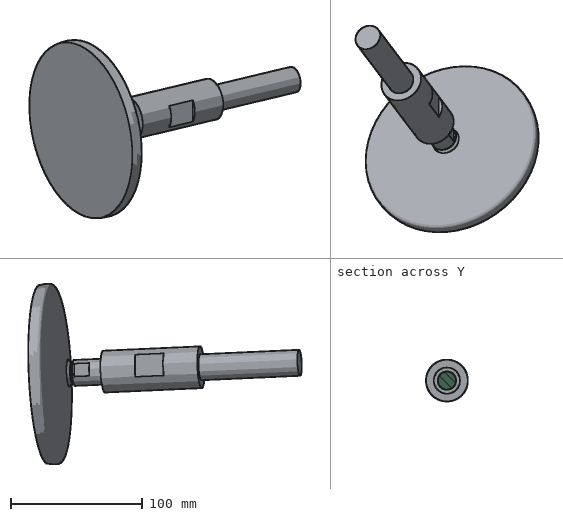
import cadquery as cq
import math

total_length = 198.0

foot_radius = 138.0 / 2
sole_radius = foot_radius - 0.5
draft_height = 4.2
rim_height = 7.1
rim_fillet = 2.5
cone_top_radius = 10.5
cone_top = 19.2
cone_angle = math.radians(9.7)
collar_radius = 8.0
collar_base = 21.4
ridge_radius = 9.0
ridge_middle = 22.2
ridge_half_height = 0.5
collar_top = ridge_middle + ridge_half_height

rod_diameter = 20.0
neck_diameter = 14.0
rod_start = 23.5
rod_flat_start = 25.1
rod_flat_length = 11.5
rod_across_flats = 17.2

sleeve_diameter = 32.0
sleeve_start = 46.5
sleeve_length = 75.0
sleeve_flat_length = 22.0
sleeve_across_flats = 27.0


def cylinder_y(diameter, start, length):
    """Cylinder along +Y from Y = start."""
    plane = cq.Workplane("XZ", origin=(0, start, 0))
    return plane.circle(diameter / 2).extrude(-length)


def cut_flats(body, diameter, across_flats, start, length):
    """Cut a pair of flats facing -X and +X, with square ends along Y."""
    depth = (diameter - across_flats) / 2
    middle = start + length / 2
    for side in (-1, 1):
        x_middle = side * (across_flats + depth) / 2
        cutter = cq.Workplane("XY").box(depth, length, diameter)
        body = body.cut(cutter.translate((x_middle, middle, 0)))
    return body


def make_foot():
    arc_radius_center = foot_radius - rim_fillet
    arc_middle_angle = (math.pi / 2 - cone_angle) / 2
    arc_middle = (
        arc_radius_center + rim_fillet * math.cos(arc_middle_angle),
        rim_height + rim_fillet * math.sin(arc_middle_angle),
    )
    arc_end = (
        arc_radius_center + rim_fillet * math.sin(cone_angle),
        rim_height + rim_fillet * math.cos(cone_angle),
    )
    profile = (
        cq.Workplane("XY")
        .moveTo(0, 0)
        .lineTo(sole_radius, 0)
        .lineTo(foot_radius, draft_height)
        .lineTo(foot_radius, rim_height)
        .threePointArc(arc_middle, arc_end)
        .lineTo(cone_top_radius, cone_top)
        .lineTo(collar_radius, collar_base)
        .lineTo(ridge_radius, ridge_middle)
        .lineTo(neck_diameter / 2, collar_top)
        .lineTo(0, collar_top)
        .close()
    )
    return profile.revolve(360, (0, 0, 0), (0, 1, 0))


def make_rod():
    shank = cylinder_y(rod_diameter, rod_start, total_length - rod_start)
    shank = cut_flats(shank, rod_diameter, rod_across_flats, rod_flat_start, rod_flat_length)
    neck = cylinder_y(neck_diameter, collar_top, rod_start - collar_top)
    return shank.union(neck)


def make_sleeve():
    tube = cylinder_y(sleeve_diameter, sleeve_start, sleeve_length)
    tube = tube.cut(cylinder_y(rod_diameter, sleeve_start, sleeve_length))
    flat_start = sleeve_start + (sleeve_length - sleeve_flat_length) / 2
    return cut_flats(tube, sleeve_diameter, sleeve_across_flats, flat_start, sleeve_flat_length)


foot = make_foot()
rod = make_rod()
sleeve = make_sleeve()

result = cq.Compound.makeCompound([foot.val(), rod.val(), sleeve.val()])